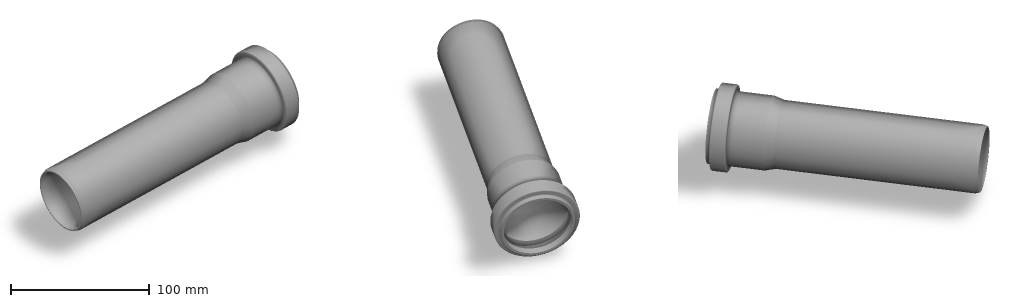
import cadquery as cq
import math


total_length = 199.0
spigot_chamfer_length = 3.1
cone_start = 148.8
cone_length = 8.1
ring_length = 12.0
lip_length = 3.3

pipe_diameter = 50.2
socket_diameter = 54.6
lip_diameter = 54.9
ring_diameter = 64.1
pipe_wall = 2.0
socket_wall = 1.9

spigot_chamfer_inset = 1.0
ring_edge_radius = 1.0
ring_root_radius = 1.0

position_tolerance = 0.001

cone_end = cone_start + cone_length
ring_end = total_length - lip_length
ring_start = ring_end - ring_length
groove_start = ring_start + socket_wall
groove_end = ring_end - socket_wall

pipe_radius = pipe_diameter / 2
socket_radius = socket_diameter / 2
lip_radius = lip_diameter / 2
ring_radius = ring_diameter / 2
spigot_tip_radius = pipe_radius - spigot_chamfer_inset
pipe_bore_radius = pipe_radius - pipe_wall
socket_bore_radius = socket_radius - socket_wall
lip_bore_radius = lip_radius - socket_wall
groove_radius = ring_radius - socket_wall


def revolve_profile(points):
    """Revolve a closed (radius, Y) outline about the Y axis."""
    return cq.Workplane("XY").polyline(points).close().revolve(360, (0, 0, 0), (0, 1, 0))


def ring_face_edges(body, y):
    """Circular edges of the ring side face at y, smallest radius first."""
    edges = body.faces("%PLANE").edges("%CIRCLE").vals()
    on_face = [edge for edge in edges if math.isclose(edge.Center().y, y, abs_tol=position_tolerance)]
    return sorted(on_face, key=lambda edge: edge.radius())


def outer_body():
    """Solid outer shape: spigot, cone, socket, sealing ring housing with filleted edges, and lip."""
    body = revolve_profile([
        (0, 0),
        (spigot_tip_radius, 0),
        (pipe_radius, spigot_chamfer_length),
        (pipe_radius, cone_start),
        (socket_radius, cone_end),
        (socket_radius, ring_start),
        (ring_radius, ring_start),
        (ring_radius, ring_end),
        (lip_radius, ring_end),
        (lip_radius, total_length),
        (0, total_length),
    ])
    for y in (ring_start, ring_end):
        root_edge = ring_face_edges(body, y)[0]
        body = body.newObject([root_edge]).fillet(ring_root_radius)
        rim_edge = ring_face_edges(body, y)[-1]
        body = body.newObject([rim_edge]).fillet(ring_edge_radius)
    return body


def bore():
    """Passage through the pipe, with the wider socket and its sealing ring groove."""
    return revolve_profile([
        (0, 0),
        (pipe_bore_radius, 0),
        (pipe_bore_radius, cone_start),
        (socket_bore_radius, cone_end),
        (socket_bore_radius, groove_start),
        (groove_radius, groove_start),
        (groove_radius, groove_end),
        (lip_bore_radius, groove_end),
        (lip_bore_radius, total_length),
        (0, total_length),
    ])


result = outer_body().cut(bore())